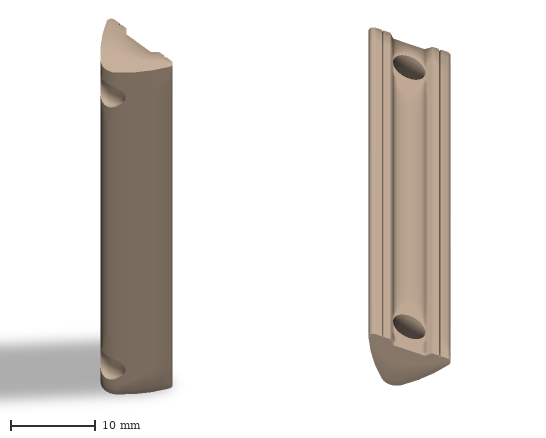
import cadquery as cq
import math

length = 58.0
width = 10.5
depth = 6.4

corner_radius = 0.6
corner_end_angle = math.radians(30)

nose_half_width = 1.35
nose_rise = 0.5
flank_bulge = 0.3

groove_floor_width = 4.05
groove_depth = 0.7

score_offset = 3.7
score_width = 0.25
score_depth = 0.3

hole_diameter = 4.2
hole_end_distance = 4.45

back_y = depth / 2
nose_y = -depth / 2


def mirrored(point):
    """Reflect a section point across the centre plane."""
    return (-point[0], point[1])


def make_bar():
    """Extrude the section: straight back, round corners, curved flanks and nose."""
    corner_x = width / 2 - corner_radius
    corner_y = back_y - corner_radius

    def corner_point(angle):
        return (
            corner_x + corner_radius * math.cos(angle),
            corner_y + corner_radius * math.sin(angle),
        )

    corner_start = (corner_x, back_y)
    corner_middle = corner_point((math.pi / 2 - corner_end_angle) / 2)
    corner_end = corner_point(-corner_end_angle)
    nose_end = (nose_half_width, nose_y + nose_rise)

    chord_x = corner_end[0] - nose_end[0]
    chord_y = corner_end[1] - nose_end[1]
    chord = math.hypot(chord_x, chord_y)
    flank_middle = (
        (corner_end[0] + nose_end[0]) / 2 + flank_bulge * chord_y / chord,
        (corner_end[1] + nose_end[1]) / 2 - flank_bulge * chord_x / chord,
    )

    return (
        cq.Workplane("XY")
        .moveTo(*corner_start)
        .threePointArc(corner_middle, corner_end)
        .threePointArc(flank_middle, nose_end)
        .threePointArc((0, nose_y), mirrored(nose_end))
        .threePointArc(mirrored(flank_middle), mirrored(corner_end))
        .threePointArc(mirrored(corner_middle), mirrored(corner_start))
        .close()
        .extrude(length / 2, both=True)
    )


def make_groove():
    """Trapezoidal groove cutter running the full length of the back."""
    floor_x = groove_floor_width / 2
    mouth_x = floor_x + groove_depth
    floor_y = back_y - groove_depth
    return (
        cq.Workplane("XY")
        .polyline([(-mouth_x, back_y), (-floor_x, floor_y), (floor_x, floor_y), (mouth_x, back_y)])
        .close()
        .extrude(length / 2, both=True)
    )


def make_score(center_x):
    """V-shaped cutter running the full length of one land."""
    half_width = score_width / 2
    return (
        cq.Workplane("XY")
        .polyline([
            (center_x - half_width, back_y),
            (center_x, back_y - score_depth),
            (center_x + half_width, back_y),
        ])
        .close()
        .extrude(length / 2, both=True)
    )


def make_holes():
    """Two round cutters through the full depth, one near each end."""
    hole_z = length / 2 - hole_end_distance
    return (
        cq.Workplane("XZ")
        .pushPoints([(0, -hole_z), (0, hole_z)])
        .circle(hole_diameter / 2)
        .extrude(depth, both=True)
    )


result = make_bar().cut(make_groove()).cut(make_holes())
for score_x in (-score_offset, score_offset):
    result = result.cut(make_score(score_x))